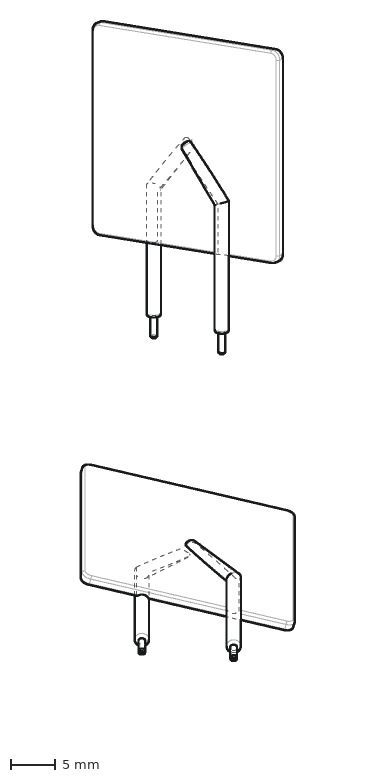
import cadquery as cq

plate_side = 24.9
plate_thickness = 1.2
plate_corner_radius = 1.0
plate_edge_radius = 0.3

lead_diameter = 1.65
lead_x = 5.12
overall_depth = 3.52
lead_y = (overall_depth - lead_diameter) / 2
bend_z = -6.17
buried_end_y = 0.3
sleeve_end_z = -21.35
sleeve_edge_radius = 0.35

overall_height = 36.3
pin_diameter = 0.8
pin_tip_z = plate_side / 2 - overall_height
pin_tip_chamfer = 0.2


def make_plate():
    plate = cq.Workplane("XY").box(plate_side, plate_thickness, plate_side)
    plate = plate.edges("|Y").fillet(plate_corner_radius)
    return plate.faces("<Y or >Y").edges().fillet(plate_edge_radius)


def make_lead():
    """Lead on the -Y face: a straight sleeve, a mitred bend and a bare pin."""
    start = cq.Vector(lead_x, -lead_y, sleeve_end_z)
    bend = cq.Vector(lead_x, -lead_y, bend_z)
    inner_end = cq.Vector(0, -buried_end_y, 0)
    path = cq.Workplane("XY").polyline([start.toTuple(), bend.toTuple(), inner_end.toTuple()])
    sleeve = (
        cq.Workplane("XY", origin=start.toTuple())
        .circle(lead_diameter / 2)
        .sweep(path, transition="right")
    )
    inner_face = cq.selectors.NearestToPointSelector(inner_end.toTuple())
    sleeve = sleeve.faces("<Z").edges().fillet(sleeve_edge_radius)
    sleeve = sleeve.faces(inner_face).edges().fillet(sleeve_edge_radius)

    pin = (
        cq.Workplane("XY", origin=(lead_x, -lead_y, pin_tip_z))
        .circle(pin_diameter / 2)
        .extrude(sleeve_end_z - pin_tip_z)
        .faces("<Z")
        .chamfer(pin_tip_chamfer)
    )
    return sleeve.union(pin)


result = make_plate()
for turn in (0, 180):
    result = result.union(make_lead().rotate((0, 0, 0), (0, 0, 1), turn))